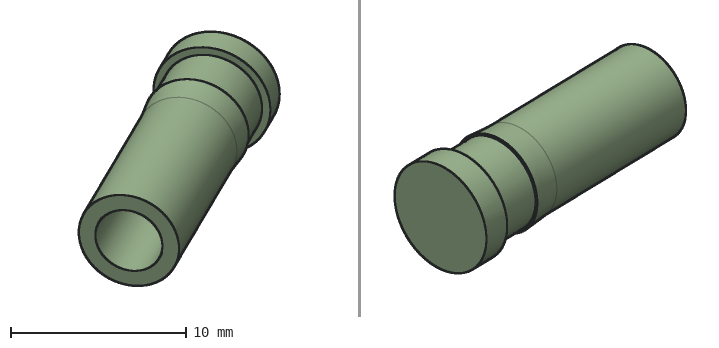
import cadquery as cq
import math

length = 17.8
head_diameter = 7.0
head_length = 1.8
body_diameter = 6.0
barb_diameter = 6.27
barb_start = 4.8
barb_length = 1.83
bore_diameter = 4.0
bore_depth = 12.0
drill_point_angle = 118.0


def revolve_profile(points):
    """Revolve an (r, y) half-profile about the Y axis."""
    return cq.Workplane("XY").polyline(points).close().revolve(360, (0, 0, 0), (0, 1, 0))


def make_outside():
    body_radius = body_diameter / 2
    head_radius = head_diameter / 2
    shoulder_y = length - head_length
    barb_y = length - barb_start
    return revolve_profile([
        (0, 0),
        (body_radius, 0),
        (body_radius, barb_y - barb_length),
        (barb_diameter / 2, barb_y),
        (body_radius, barb_y),
        (body_radius, shoulder_y),
        (head_radius, shoulder_y),
        (head_radius, length),
        (0, length),
    ])


def make_bore():
    bore_radius = bore_diameter / 2
    point_length = bore_radius / math.tan(math.radians(drill_point_angle / 2))
    return revolve_profile([
        (0, 0),
        (bore_radius, 0),
        (bore_radius, bore_depth),
        (0, bore_depth + point_length),
    ])


result = make_outside().cut(make_bore())